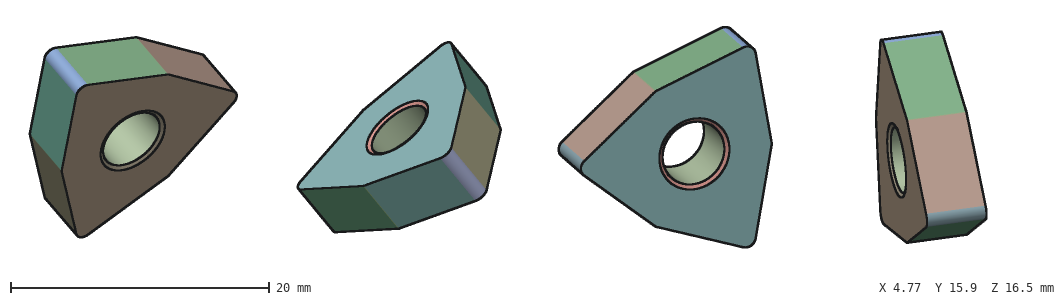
import cadquery as cq
import math

height = 16.55
thickness = 4.77
nose_radius = 0.8
nose_angle = 80.0
nose_count = 3
blunt_corner_radius = 0.2
hole_diameter = 5.13
mouth_diameter = 5.83
chamfer_depth = 0.2

nose_pitch = 360.0 / nose_count
half_nose = math.radians(nose_angle / 2)
nose_center_distance = (height / 2 - nose_radius) / math.sin(math.radians(nose_pitch))
inscribed_radius = nose_center_distance * math.sin(half_nose) + nose_radius
sharp_nose_distance = inscribed_radius / math.sin(half_nose)
flank_normal_angle = math.pi / 2 - half_nose
blunt_corner_distance = inscribed_radius / math.cos(math.radians(nose_pitch / 2) - flank_normal_angle)


def polar_point(distance, angle):
    """Point in the YZ plane, with the angle in degrees from +Y toward +Z."""
    return (
        distance * math.cos(math.radians(angle)),
        distance * math.sin(math.radians(angle)),
    )


def round_corners(body, corners, radius):
    """Round the edges along X that pass through the given YZ corners."""
    for y, z in corners:
        body = body.edges(cq.selectors.NearestToPointSelector((0, y, z))).fillet(radius)
    return body


def make_body():
    """Six-sided prism centred on X, with all of its corners rounded."""
    noses = []
    blunt_corners = []
    outline = []
    for index in range(nose_count):
        angle = index * nose_pitch
        nose = polar_point(sharp_nose_distance, angle)
        blunt_corner = polar_point(blunt_corner_distance, angle + nose_pitch / 2)
        noses.append(nose)
        blunt_corners.append(blunt_corner)
        outline += [nose, blunt_corner]

    prism = cq.Workplane("YZ").polyline(outline).close().extrude(thickness / 2, both=True)
    body = round_corners(prism, noses, nose_radius)
    return round_corners(body, blunt_corners, blunt_corner_radius)


def make_hole():
    """Through hole with a shallow conical chamfer at both faces."""
    half_thickness = thickness / 2
    bore_radius = hole_diameter / 2
    mouth_radius = mouth_diameter / 2
    chamfer_start = half_thickness - chamfer_depth
    profile = [
        (-half_thickness, 0),
        (-half_thickness, mouth_radius),
        (-chamfer_start, bore_radius),
        (chamfer_start, bore_radius),
        (half_thickness, mouth_radius),
        (half_thickness, 0),
    ]
    return cq.Workplane("XY").polyline(profile).close().revolve(360, (0, 0, 0), (1, 0, 0))


result = make_body().cut(make_hole())